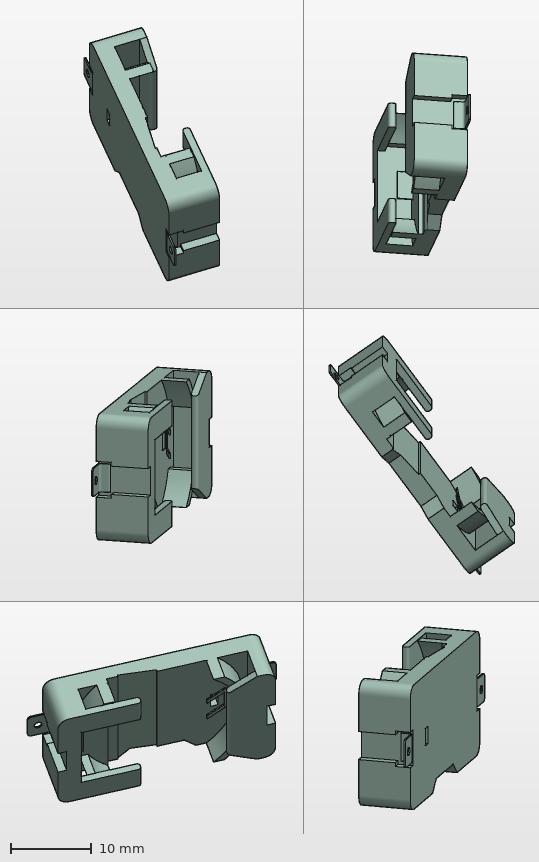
import cadquery as cq
import math


LENGTH = 28.0
WIDTH = 16.0
HEIGHT = 6.7
CORNER_RADIUS = 1.5
HALF_LENGTH = LENGTH / 2
HALF_WIDTH = WIDTH / 2
Y_BOTTOM = -HEIGHT / 2
Y_TOP = HEIGHT / 2
THROUGH = 3 * WIDTH

BASE_THICKNESS = 2.43
Y_BASE = Y_BOTTOM + BASE_THICKNESS
CELL_RADIUS = 10.0
CRADLE_INNER_RADIUS = CELL_RADIUS + 0.2
CRADLE_WALL = 0.95
CRADLE_OUTER_RADIUS = CRADLE_INNER_RADIUS + CRADLE_WALL
CELL_HEIGHT = 3.2
Y_CRADLE = Y_BASE + CELL_HEIGHT
LEFT_CRADLE_GAP = 8.0
RIGHT_CRADLE_GAP = 10.0

RAMP_END_X = 4.85
RAMP_START_DEPTH = 0.27
RAMP_END_DEPTH = 0.8
SUNKEN_FLOOR_DEPTH = 0.6
SUNKEN_END_X = 6.3

LEFT_WALL_X = -11.65
RIGHT_WALL_X = 10.15
RIGHT_WALL_DEEP_X = 11.0
RIGHT_WALL_LEAN = 2.25

LIP_THICKNESS = 0.95
Y_LIP = Y_TOP - LIP_THICKNESS
LIP_TIP_RADIUS = 0.4
LEFT_LIP_TIP_X = -7.85
LEFT_LIP_TAPER = math.radians(29)
RIGHT_LIP_TIP_X = 3.25
RIGHT_LIP_WIDTH = 3.2

NOTCH_LEFT_X = -5.0
NOTCH_RIGHT_X = 4.8
NOTCH_DEPTH = 1.5
WINDOW_LEFT_X = -7.85
WINDOW_LENGTH = 0.95
WINDOW_WIDTH = 2.2

METAL = 0.2
CONTACT_WIDTH = 3.6
TAB_END_X = 16.0
TAB_CORNER_RADIUS = 0.5
TAB_HOLE_X = 14.65
TAB_HOLE_DIAMETER = 1.0
BEND_RADIUS = 0.3
SHOULDER_RADIUS = METAL
RECESS_DEPTH = 1.1
RECESS_WIDTH = 4.55
RECESS_HEIGHT = 1.95
RECESS_X = HALF_LENGTH - RECESS_DEPTH
Y_FLANGE = Y_BOTTOM + 1.55

SPRING_ROOT_X = 11.0
SPRING_TIP_X = 6.05
Y_SPRING_TIP = 0.35
FORK_ROOT_X = 8.6
FORK_GAP = WINDOW_WIDTH + 0.2

Y_UPRIGHT = 1.0


def box(x_min, x_max, y_min, y_max, z_min, z_max):
    size = (x_max - x_min, y_max - y_min, z_max - z_min)
    return cq.Workplane("XY").box(*size, centered=False).translate((x_min, y_min, z_min))


def profile_along_y(points, y_min, y_max):
    """Prism over an outline of (x, z) points."""
    plane = cq.Workplane("XZ", origin=(0, y_min, 0))
    return plane.polyline(points).close().extrude(y_min - y_max)


def disc(radius, y_min, y_max):
    return cq.Workplane("XZ", origin=(0, y_min, 0)).circle(radius).extrude(y_min - y_max)


def block():
    solid = box(-HALF_LENGTH, HALF_LENGTH, Y_BOTTOM, Y_TOP, -HALF_WIDTH, HALF_WIDTH)
    return solid.edges("|Y").fillet(CORNER_RADIUS)


def open_interior():
    """Space above the base between the left wall and the leaning right wall."""
    lean_z = HALF_WIDTH - RIGHT_WALL_LEAN
    outline = [
        (LEFT_WALL_X, -HALF_WIDTH),
        (RIGHT_WALL_X, -HALF_WIDTH),
        (RIGHT_WALL_DEEP_X, -lean_z),
        (RIGHT_WALL_DEEP_X, lean_z),
        (RIGHT_WALL_X, HALF_WIDTH),
        (LEFT_WALL_X, HALF_WIDTH),
    ]
    return profile_along_y(outline, Y_BASE, Y_TOP)


def cradle():
    """Ring wall around the cell, trimmed to the block width and open at both ends."""
    ring = disc(CRADLE_OUTER_RADIUS, Y_BASE, Y_CRADLE).cut(disc(CRADLE_INNER_RADIUS, Y_BASE, Y_CRADLE))
    ring = ring.intersect(box(-HALF_LENGTH, HALF_LENGTH, Y_BASE, Y_CRADLE, -HALF_WIDTH, HALF_WIDTH))
    left_gap = LEFT_CRADLE_GAP / 2
    right_gap = RIGHT_CRADLE_GAP / 2
    ring = ring.cut(box(-HALF_LENGTH, 0, Y_BASE, Y_CRADLE, -left_gap, left_gap))
    return ring.cut(box(0, HALF_LENGTH, Y_BASE, Y_CRADLE, -right_gap, right_gap))


def left_lip():
    taper = (LEFT_LIP_TIP_X - LEFT_WALL_X) * math.tan(LEFT_LIP_TAPER)
    tip_z = HALF_WIDTH - taper
    outline = [
        (LEFT_WALL_X, -HALF_WIDTH),
        (LEFT_LIP_TIP_X, -tip_z),
        (LEFT_LIP_TIP_X, tip_z),
        (LEFT_WALL_X, HALF_WIDTH),
    ]
    lip = profile_along_y(outline, Y_LIP, Y_TOP)
    return lip.faces(">X").edges("|Z").fillet(LIP_TIP_RADIUS)


def right_lip(side):
    """Finger along one long edge; side is +1 for +Z and -1 for -Z."""
    z_limits = sorted((side * HALF_WIDTH, side * (HALF_WIDTH - RIGHT_LIP_WIDTH)))
    lip = box(RIGHT_LIP_TIP_X, RIGHT_WALL_DEEP_X, Y_LIP, Y_TOP, *z_limits)
    return lip.faces("<X").edges("|Z").fillet(LIP_TIP_RADIUS)


def sunken_floor():
    """Ramp across the middle followed by a flat, both inside the cradle."""
    profile = [
        (0, Y_BASE),
        (0, Y_BASE - RAMP_START_DEPTH),
        (RAMP_END_X, Y_BASE - RAMP_END_DEPTH),
        (RAMP_END_X, Y_BASE - SUNKEN_FLOOR_DEPTH),
        (SUNKEN_END_X, Y_BASE - SUNKEN_FLOOR_DEPTH),
        (SUNKEN_END_X, Y_BASE),
    ]
    cutter = cq.Workplane("XY").polyline(profile).close().extrude(THROUGH / 2, both=True)
    return cutter.intersect(disc(CRADLE_INNER_RADIUS, Y_BOTTOM, Y_BASE))


def edge_notch():
    outline = [
        (NOTCH_LEFT_X, -HALF_WIDTH),
        (NOTCH_RIGHT_X, -HALF_WIDTH),
        (NOTCH_RIGHT_X - NOTCH_DEPTH, NOTCH_DEPTH - HALF_WIDTH),
        (NOTCH_LEFT_X + NOTCH_DEPTH, NOTCH_DEPTH - HALF_WIDTH),
    ]
    return profile_along_y(outline, Y_BOTTOM, Y_BASE)


def floor_window():
    half = WINDOW_WIDTH / 2
    return box(WINDOW_LEFT_X, WINDOW_LEFT_X + WINDOW_LENGTH, Y_BOTTOM, Y_BASE, -half, half)


def end_recess(side):
    """Contact recess at the mounting face and the narrower groove above it."""
    x_limits = sorted((side * RECESS_X, side * HALF_LENGTH))
    y_step = Y_BOTTOM + RECESS_HEIGHT
    recess = box(*x_limits, Y_BOTTOM, y_step, -RECESS_WIDTH / 2, RECESS_WIDTH / 2)
    groove = box(*x_limits, y_step, Y_TOP, -CONTACT_WIDTH / 2, CONTACT_WIDTH / 2)
    return recess.union(groove)


def make_contact(inner_profile):
    """Strip with a soldering tab at +X, a leg up the recess wall and a flange into the base.

    inner_profile lists the (x, y) points inside the base, from the flange underside to its top.
    """
    leg_outer_x = RECESS_X + METAL
    y_tab = Y_BOTTOM + METAL
    profile = [
        (TAB_END_X, y_tab),
        (TAB_END_X, Y_BOTTOM),
        (RECESS_X, Y_BOTTOM),
        (RECESS_X, Y_FLANGE - METAL),
        *inner_profile,
        (leg_outer_x, Y_FLANGE),
        (leg_outer_x, y_tab),
    ]
    strip = cq.Workplane("XY").polyline(profile).close().extrude(CONTACT_WIDTH / 2, both=True)
    bends = [
        ((RECESS_X, Y_BOTTOM, 0), BEND_RADIUS + METAL),
        ((leg_outer_x, y_tab, 0), BEND_RADIUS),
        ((leg_outer_x, Y_FLANGE, 0), SHOULDER_RADIUS),
    ]
    for corner, radius in bends:
        strip = strip.edges(cq.NearestToPointSelector(corner)).fillet(radius)
    strip = strip.faces(">X").edges("|Y").fillet(TAB_CORNER_RADIUS)
    hole_plane = cq.Workplane("XZ", origin=(TAB_HOLE_X, Y_BOTTOM, 0))
    return strip.cut(hole_plane.circle(TAB_HOLE_DIAMETER / 2).extrude(-METAL))


def make_left_contact():
    """Contact whose flange rises as a forked spring under the cell."""
    contact = make_contact([
        (SPRING_ROOT_X, Y_FLANGE - METAL),
        (SPRING_TIP_X, Y_SPRING_TIP - METAL),
        (SPRING_TIP_X, Y_SPRING_TIP),
        (SPRING_ROOT_X, Y_FLANGE),
    ])
    fork = box(SPRING_TIP_X, FORK_ROOT_X, Y_BOTTOM, Y_TOP, -FORK_GAP / 2, FORK_GAP / 2)
    return contact.cut(fork).mirror("YZ")


def make_right_contact():
    """Contact whose flange turns up beside the rim of the cell."""
    return make_contact([
        (CELL_RADIUS, Y_FLANGE - METAL),
        (CELL_RADIUS, Y_UPRIGHT),
        (CELL_RADIUS + METAL, Y_UPRIGHT),
        (CELL_RADIUS + METAL, Y_FLANGE),
    ])


def make_housing(contacts):
    """Moulded body; the contacts sit in slots of their own shape."""
    body = block().cut(open_interior()).union(cradle()).union(left_lip())
    for side in (-1, 1):
        body = body.union(right_lip(side)).cut(end_recess(side))
    body = body.cut(sunken_floor()).cut(edge_notch()).cut(floor_window())
    for contact in contacts:
        body = body.cut(contact)
    return body


left_contact = make_left_contact()
right_contact = make_right_contact()
housing = make_housing([left_contact, right_contact])

result = cq.Compound.makeCompound([housing.val(), left_contact.val(), right_contact.val()])